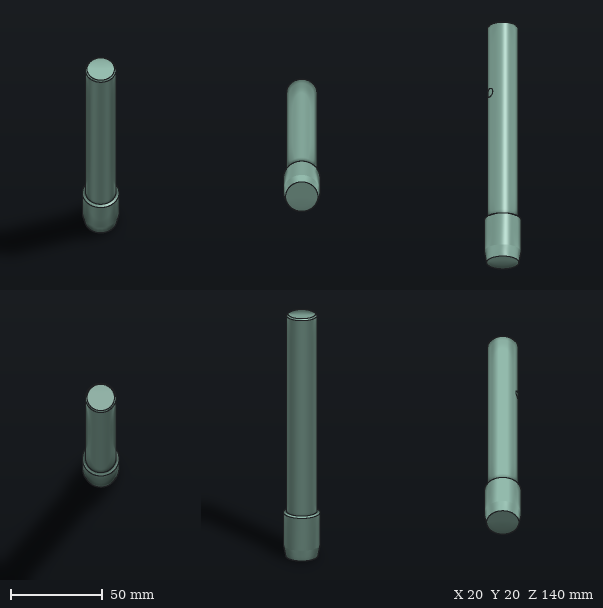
import cadquery as cq

total_height = 140.0
rod_diameter = 16.7
rod_chamfer = 0.8
collar_diameter = 20.0
collar_height = 25.9
shoulder_height = 0.7
nose_height = 6.3
nose_end_diameter = 17.6

plug_diameter = 5.0
plug_depth = 2.1
plug_height = 99.0

rod_radius = rod_diameter / 2
collar_radius = collar_diameter / 2
nose_end_radius = nose_end_diameter / 2


def make_stepped_pin():
    """Revolved pin: tapered nose, collar with a sloping shoulder, chamfered rod."""
    return (
        cq.Workplane("XZ")
        .lineTo(nose_end_radius, 0)
        .lineTo(collar_radius, nose_height)
        .lineTo(collar_radius, collar_height - shoulder_height)
        .lineTo(rod_radius, collar_height)
        .lineTo(rod_radius, total_height - rod_chamfer)
        .lineTo(rod_radius - rod_chamfer, total_height)
        .lineTo(0, total_height)
        .close()
        .revolve(360, (0, 0, 0), (0, 1, 0))
    )


def make_plug_cylinder():
    """Cylinder running inward from the +Y side of the rod."""
    return (
        cq.Workplane("XZ", origin=(0, rod_radius, plug_height))
        .circle(plug_diameter / 2)
        .extrude(plug_depth)
    )


stepped_pin = make_stepped_pin()
plug_cylinder = make_plug_cylinder()

plug = plug_cylinder.intersect(stepped_pin)
pin = stepped_pin.cut(plug_cylinder)

result = cq.Compound.makeCompound([pin.solids().val(), plug.solids().val()])